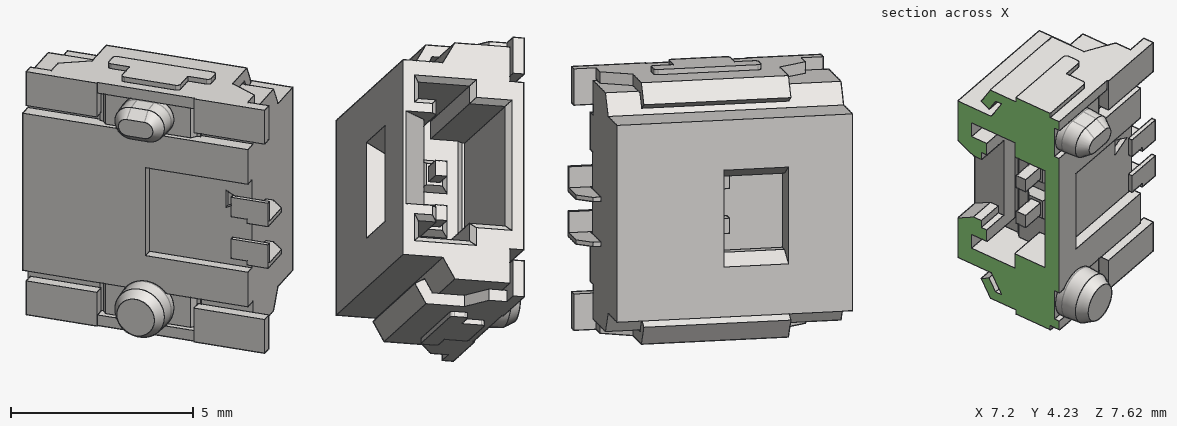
import cadquery as cq
import math


body_length = 6.59
body_front = 0.05
body_back = 3.48
core_half_height = 2.37
shoulder_half_height = 2.76
flange_half_height = 3.345
flange_front = 0.45
flange_back = 2.01
shoulder_start = 2.355
mid_x = 3.61

pad_front = 0.205
pad_step = 0.365
pad_half_base = 1.47
pad_half_foot = 1.37
pad_half_top = 1.24

cavity_end = 4.115
cavity_front = 0.54
cavity_step = 1.555
cavity_lip = 2.5
cavity_back = 3.01
cavity_narrow_half = 1.69
cavity_wide_half = 2.195
lip_half = 1.73
mouth_bevel = 0.15

groove_half = 1.31
groove_floor = 2.68
ramp_top = 3.405
window_start = 1.79
window_end = 3.6
window_half = 1.07
window_flare_half = 1.36
window_flare_start = 2.95

carrier_face = 3.96
carrier_front = 0.625
carrier_back = 2.4
carrier_bevel = 0.15

contact_pitch = 1.26
contact_y = 1.52
post_base = (0.86, 0.91)
post_top = (0.46, 0.61)
post_height = 0.23
pin_size = (0.32, 0.43)
pin_length = 0.915

tail_thickness = 0.12
tail_foot_start = 6.12
tail_end = 7.2
tail_height = 1.42
tail_corner = 0.39
tail_shoulder = tail_end - tail_corner
tail_top = 0.25
tail_bottom = -0.46

recess_start = 3.6
recess_half = 1.325
recess_floor = 0.36
mark_start = 5.83
mark_half_height = 0.26
mark_length = 0.54
mark_depth = 0.15

clip_thickness = 0.32
clip_outer = flange_half_height + clip_thickness
clip_half_foot = 3.49
clip_half_gap = 1.42
clip_gap_front = 0.045
clip_half_base = 2.87
clip_half_arm = 2.06
clip_taper_start = 0.82
clip_taper_end = 1.295
clip_bend = 2.385
clip_tip_length = 0.63
clip_tip_angle = math.radians(60)
foot_depth = 1.02

overall_half_height = 3.81
boss_height = overall_half_height - clip_outer
boss_half_bar = 1.5
boss_half_stem = 0.85
boss_front = 0.35
boss_neck = 1.01
boss_back = 1.52
boss_radius = 0.11

peg_z = 2.84
peg_shoulder = -0.44
peg_tip = -0.75
peg_diameter = 1.51
peg_draft = 0.03
round_tip_diameter = 1.1
slot_peg_width = 1.01
slot_tip_length = 1.005
slot_tip_width = 0.49


def box(x0, x1, y0, y1, z0, z1):
    """Axis-aligned block between two opposite corners."""
    return cq.Workplane("XY").box(x1 - x0, y1 - y0, z1 - z0, centered=False).translate((x0, y0, z0))


def plate(points, z0, z1):
    """Outline in X and Y, given thickness along Z."""
    return cq.Workplane("XY").workplane(offset=z0).polyline(points).close().extrude(z1 - z0)


def bar(points, x0, x1):
    """Outline in Y and Z, given length along X."""
    return cq.Workplane("YZ").workplane(offset=x0).polyline(points).close().extrude(x1 - x0)


def mirrored_outline(half):
    """Close a half outline by reflecting its second coordinate."""
    return half + [(a, -b) for a, b in reversed(half)]


def symmetric_plate(half, z0, z1):
    """Plate whose outline is symmetric about the middle X; half holds (half width, y)."""
    left = [(mid_x - w, y) for w, y in half]
    right = [(mid_x + w, y) for w, y in reversed(half)]
    return plate(left + right, z0, z1)


def make_shell():
    half = [
        (body_front, core_half_height),
        (flange_front, core_half_height),
        (flange_front, flange_half_height),
        (flange_back, flange_half_height),
        (shoulder_start, shoulder_half_height),
        (body_back, shoulder_half_height),
    ]
    return bar(mirrored_outline(half), 0, body_length)


def cavity_outline(grow):
    """Stepped cavity section with a lip along its back, grown outward by a margin."""
    half = [
        (cavity_front - grow, cavity_narrow_half + grow),
        (cavity_step - grow, cavity_narrow_half + grow),
        (cavity_step - grow, cavity_wide_half + grow),
        (cavity_back + grow, cavity_wide_half + grow),
        (cavity_back + grow, lip_half - grow),
        (cavity_lip + grow, lip_half - grow),
    ]
    return mirrored_outline(half)


def make_cavity():
    straight = bar(cavity_outline(0), 0, cavity_end)
    bevel = (
        cq.Workplane("YZ")
        .polyline(cavity_outline(mouth_bevel)).close()
        .workplane(offset=mouth_bevel)
        .polyline(cavity_outline(0)).close()
        .loft(ruled=True)
    )
    return straight.union(bevel)


def make_latch_opening():
    groove_side = [
        (0, ramp_top),
        (ramp_top - groove_floor, groove_floor),
        (window_end, groove_floor),
        (window_end, cavity_lip),
        (0, cavity_lip),
    ]
    groove = plate(groove_side, -groove_half, groove_half)
    window_half_section = [
        (cavity_lip, window_half),
        (window_flare_start, window_half),
        (body_back, window_flare_half),
    ]
    window = bar(mirrored_outline(window_half_section), window_start, window_end)
    return groove.union(window)


def make_carrier():
    side = [
        (cavity_end, carrier_front),
        (carrier_face, carrier_front + carrier_bevel),
        (carrier_face, carrier_back - carrier_bevel),
        (cavity_end, carrier_back),
    ]
    return plate(side, -cavity_wide_half, cavity_wide_half)


def make_contact(z):
    """Tapered post with a pin, and the folded solder tail at the other end."""
    post = (
        cq.Workplane("YZ", origin=(carrier_face, contact_y, z))
        .rect(*post_base)
        .workplane(offset=-post_height)
        .rect(*post_top)
        .loft(ruled=True)
    )
    pin = cq.Workplane("YZ", origin=(carrier_face, contact_y, z)).rect(*pin_size).extrude(-pin_length)
    web_outline = [
        (body_length, 0),
        (tail_end, 0),
        (tail_end, tail_height - tail_corner),
        (tail_shoulder, tail_height),
        (body_length, tail_height),
    ]
    web_bottom = z + tail_bottom
    web_top = web_bottom + tail_thickness
    web = plate(web_outline, web_bottom, web_top)
    foot = box(tail_foot_start, tail_end, 0, tail_thickness, web_top, z + tail_top)
    return post.union(pin).union(web).union(foot)


def make_recess():
    recess = box(recess_start, body_length, body_front, recess_floor, -recess_half, recess_half)
    mark_z = contact_pitch / 2
    mark = (
        cq.Workplane("XZ", origin=(0, recess_floor, 0))
        .polyline([
            (mark_start, mark_z + mark_half_height),
            (mark_start + mark_length, mark_z),
            (mark_start, mark_z - mark_half_height),
        ])
        .close()
        .extrude(-mark_depth)
    )
    return recess.union(mark)


def make_pad():
    half = [
        (pad_half_base, flange_front),
        (pad_half_base, pad_step),
        (pad_half_foot, pad_step),
        (pad_half_top, pad_front),
    ]
    return symmetric_plate(half, core_half_height, flange_half_height)


def make_clip():
    """Upper clip: tapered arm, two solder feet and a tip bent in toward the housing."""
    arm_outline = [
        (clip_half_gap, clip_gap_front),
        (clip_half_gap, 0),
        (clip_half_foot, 0),
        (clip_half_foot, clip_thickness),
        (clip_half_base, clip_thickness),
        (clip_half_base, clip_taper_start),
        (clip_half_arm, clip_taper_end),
        (clip_half_arm, flange_back),
    ]
    arm = symmetric_plate(arm_outline, flange_half_height, clip_outer)

    cos_tip = math.cos(clip_tip_angle)
    sin_tip = math.sin(clip_tip_angle)
    inner_bend = clip_bend - clip_thickness * math.tan(clip_tip_angle / 2)
    tip_y = clip_bend + clip_tip_length * cos_tip
    tip_z = clip_outer - clip_tip_length * sin_tip
    tip_section = [
        (flange_back, clip_outer),
        (clip_bend, clip_outer),
        (tip_y, tip_z),
        (tip_y - clip_thickness * sin_tip, tip_z - clip_thickness * cos_tip),
        (inner_bend, flange_half_height),
        (flange_back, flange_half_height),
    ]
    clip = arm.union(bar(tip_section, mid_x - clip_half_arm, mid_x + clip_half_arm))

    for side in (-1, 1):
        foot_x = sorted((mid_x + side * clip_half_gap, mid_x + side * clip_half_foot))
        clip = clip.union(box(*foot_x, 0, clip_thickness, clip_outer - foot_depth, clip_outer))
    return clip


def make_boss():
    half = [
        (boss_half_stem, boss_front),
        (boss_half_stem, boss_neck),
        (boss_half_bar, boss_neck),
        (boss_half_bar, boss_back),
    ]
    boss = symmetric_plate(half, clip_outer, clip_outer + boss_height)
    inside_corners = cq.selectors.BoxSelector(
        (mid_x - boss_half_stem - boss_radius, boss_neck - boss_radius, clip_outer),
        (mid_x + boss_half_stem + boss_radius, boss_neck + boss_radius, clip_outer + boss_height),
    )
    upright_edges = cq.selectors.ParallelDirSelector(cq.Vector(0, 0, 1))
    return boss.edges(upright_edges - inside_corners).fillet(boss_radius)


def make_peg(z, root, shoulder, tip):
    """Peg along -Y: straight base, drafted shank and tapered tip; sections are (length, width)."""
    def section(work, size):
        length, width = size
        if length == width:
            return work.circle(width / 2)
        return work.slot2D(length, width)

    def taper(y0, size0, y1, size1):
        work = section(cq.Workplane("XZ", origin=(mid_x, y0, z)), size0)
        return section(work.workplane(offset=y0 - y1), size1).loft(ruled=True)

    base = section(cq.Workplane("XZ", origin=(mid_x, flange_front, z)), root).extrude(flange_front)
    shank = taper(0, root, peg_shoulder, shoulder)
    return base.union(shank).union(taper(peg_shoulder, shoulder, peg_tip, tip))


result = make_shell().cut(make_cavity()).cut(make_latch_opening())
result = result.union(make_carrier()).cut(make_recess())

side_fittings = make_pad().union(make_clip()).union(make_boss())
result = result.union(side_fittings).union(side_fittings.mirror("XY"))

for contact_side in (1, -1):
    result = result.union(make_contact(contact_side * contact_pitch / 2))

shoulder_diameter = peg_diameter - 2 * peg_draft
result = result.union(make_peg(
    peg_z,
    (peg_diameter, slot_peg_width),
    (shoulder_diameter, slot_peg_width - 2 * peg_draft),
    (slot_tip_length, slot_tip_width),
))
result = result.union(make_peg(
    -peg_z,
    (peg_diameter, peg_diameter),
    (shoulder_diameter, shoulder_diameter),
    (round_tip_diameter, round_tip_diameter),
))